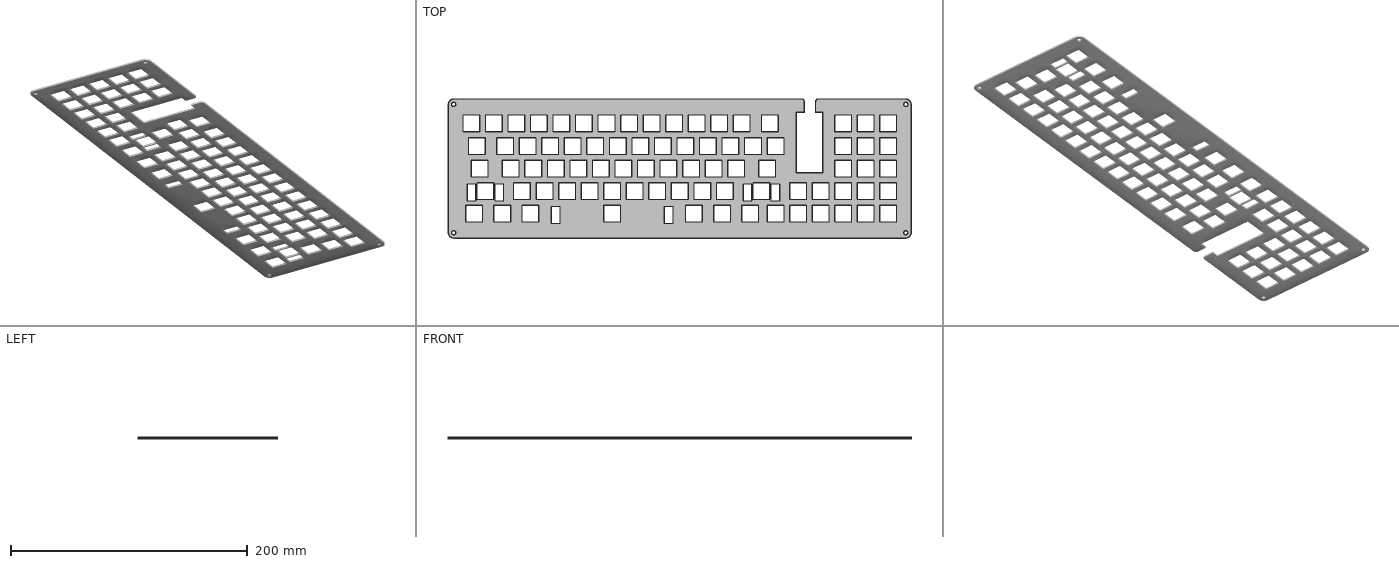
import cadquery as cq

LENGTH = 391.5
WIDTH = 118.0
THICKNESS = 1.5
CORNER_RADIUS = 5.0

MOUNT_DIAMETER = 3.4
MOUNT_INSET = 4.7

OUTER_COLUMN_SPAN = 352.5
LAST_COLUMN = 18.5
PITCH = OUTER_COLUMN_SPAN / LAST_COLUMN
WEB = 5.0
SWITCH_SIDE = PITCH - WEB

LETTER = 1
ARROW = 1
BACKSPACE = 1.5
TAB = 1.5
CAPS_LOCK = 1.75
ENTER = 1.75
SHIFT = 2.25
MODIFIER = 1.25
SPACE = 6

NUMPAD_COLUMNS = [LAST_COLUMN - 2, LAST_COLUMN - 1, LAST_COLUMN]

STABILIZER_WIDTH = 7.0
STABILIZER_HEIGHT = 14.0
STABILIZER_DROP = 1.0
SHIFT_STABILIZER_OFFSET = 11.7
SPACE_STABILIZER_OFFSET = 47.8

BAY_CENTER_X = 109.5
BAY_WIDTH = 22.5
NECK_DEPTH = 11.5
BAY_DEPTH = 51.0
NECK_CENTER_X = 110.0
NECK_WIDTH = 9.5
NECK_RADIUS = 2.5


def row_columns(cap_widths):
    """Column positions of a row of touching caps that starts at the left edge of the key field."""
    columns = []
    left_edge = -0.5
    for width in cap_widths:
        columns.append(left_edge + width / 2)
        left_edge += width
    return columns


def column_x(column):
    """X position of a column, with the key field centered on the plate."""
    return (column - LAST_COLUMN / 2) * PITCH


number_row = row_columns([LETTER] * 13 + [BACKSPACE])
top_row = row_columns([TAB] + [LETTER] * 13)
home_row = row_columns([CAPS_LOCK] + [LETTER] * 11 + [ENTER])
shift_row = row_columns([SHIFT] + [LETTER] * 10 + [SHIFT] + [ARROW] * 2)
space_row = row_columns([MODIFIER] * 3 + [SPACE] + [MODIFIER] * 3 + [ARROW] * 3)
rows = [number_row, top_row, home_row, shift_row, space_row]
row_y = [(len(rows) // 2 - index) * PITCH for index in range(len(rows))]
shift_y = row_y[rows.index(shift_row)]
space_y = row_y[rows.index(space_row)]


def through_box(center_x, center_y, size_x, size_y):
    box = cq.Workplane("XY").box(size_x, size_y, THICKNESS, centered=(True, True, False))
    return box.translate((center_x, center_y, 0))


def make_plate():
    plate = cq.Workplane("XY").box(LENGTH, WIDTH, THICKNESS, centered=(True, True, False))
    plate = plate.edges("|Z").fillet(CORNER_RADIUS)
    return (
        plate.faces(">Z").workplane(origin=(0, 0, THICKNESS))
        .rect(LENGTH - 2 * MOUNT_INSET, WIDTH - 2 * MOUNT_INSET, forConstruction=True)
        .vertices()
        .hole(MOUNT_DIAMETER)
    )


def cut_controller_bay(plate):
    back_edge = WIDTH / 2
    neck = through_box(NECK_CENTER_X, back_edge - NECK_DEPTH / 2, NECK_WIDTH, NECK_DEPTH)
    plate = plate.cut(neck)
    mouth_corners = [
        (NECK_CENTER_X + side * NECK_WIDTH / 2, back_edge, THICKNESS / 2) for side in (-1, 1)
    ]
    for corner in mouth_corners:
        plate = plate.edges(cq.selectors.NearestToPointSelector(corner)).fillet(NECK_RADIUS)
    bay_center_y = back_edge - NECK_DEPTH - BAY_DEPTH / 2
    return plate.cut(through_box(BAY_CENTER_X, bay_center_y, BAY_WIDTH, BAY_DEPTH))


def cut_switches(plate):
    points = [
        (column_x(column), y)
        for columns, y in zip(rows, row_y)
        for column in columns + NUMPAD_COLUMNS
    ]
    cutters = (
        cq.Workplane("XY").pushPoints(points).rect(SWITCH_SIDE, SWITCH_SIDE).extrude(THICKNESS)
    )
    return plate.cut(cutters)


def cut_stabilizers(plate, column, key_y, offset):
    for side in (-1, 1):
        slot_x = column_x(column) + side * offset
        slot_y = key_y - STABILIZER_DROP
        plate = plate.cut(through_box(slot_x, slot_y, STABILIZER_WIDTH, STABILIZER_HEIGHT))
    return plate


result = make_plate()
result = cut_controller_bay(result)
result = cut_switches(result)

left_shift = shift_row[0]
right_shift = shift_row[-3]
space_bar = space_row[3]
result = cut_stabilizers(result, left_shift, shift_y, SHIFT_STABILIZER_OFFSET)
result = cut_stabilizers(result, right_shift, shift_y, SHIFT_STABILIZER_OFFSET)
result = cut_stabilizers(result, space_bar, space_y, SPACE_STABILIZER_OFFSET)